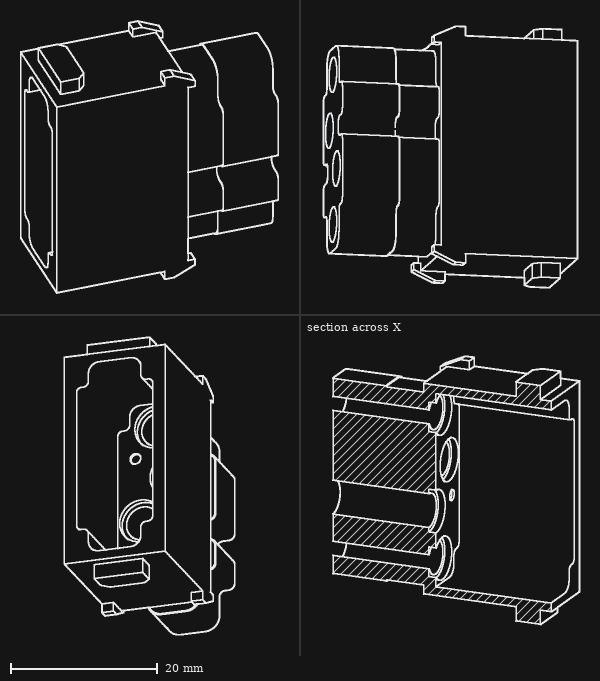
import cadquery as cq
import math

body_width = 14.6
body_height = 30.35
body_depth = 19.05
total_height = 34.4
total_depth = 32.6

end_hole_z = 10.42
inner_hole_x = 2.2
inner_hole_z = 3.05
hole_diameter = 4.8
counterbore_diameter = 6.1
counterbore_depth = 1.03
hole_centres = [
    (0, end_hole_z),
    (inner_hole_x, inner_hole_z),
    (-inner_hole_x, -inner_hole_z),
    (0, -end_hole_z),
]

cavity_depth = 17.2
cavity_half_width = 5.5
cavity_half_height = 13.85
cavity_end_half_width = 3.8
cavity_shoulder_z = end_hole_z
cavity_end_radius = 1.5
cavity_shoulder_radius = 0.75
cavity_corner_radius = 0.7

recess_diameter = 1.5
recess_depth = 0.35
recess_centres = [(-2.95, 6.12), (3.13, -2.3)]

neck_length = 5.57
plug_inset = 0.15
head_half_width = 6.05
head_half_height = 14.1
head_shoulder_z = 8.45
head_corner_radius = 0.9
head_shoulder_radius = 0.75
neck_shoulder_radius = 1.25
head_end_half_width = 3.85
neck_end_half_width = 3.8
plug_end_radius = 2.05
notch_z = 2.55
notch_wall_x = 3.27
head_notch_half_height = 1.38
notch_flat_half_height = 0.25

tab_height = (total_height - body_height) / 2
tab_front_y = 1.58
tab_back_y = 5.3
tab_chamfer = 1.03
top_tab_width = 9.0
bottom_tab_width = 7.02

hook_width = 1.7
hook_front_y = 15.7
hook_crest_y = 17.03
hook_tip_y = 20.05
hook_crest_z = 16.45
hook_tip_z = 15.05
hook_root_z = head_half_height


def point_symmetric(half_corners):
    """Complete an outline by turning its first half 180 degrees about the origin."""
    return half_corners + [(-x, -z, radius) for x, z, radius in half_corners]


def rounded_prism(corners, start_y, length):
    """Extrude along +Y an outline of right-angled (x, z, radius) corners."""
    arc_pull = 1 - math.sqrt(0.5)
    outline = cq.Workplane("XZ", origin=(0, start_y, 0))
    for index, (x, z, radius) in enumerate(corners):
        before = corners[index - 1]
        after = corners[(index + 1) % len(corners)]
        to_before = cq.Vector(before[0] - x, before[1] - z).normalized()
        to_after = cq.Vector(after[0] - x, after[1] - z).normalized()
        corner = cq.Vector(x, z)
        arc_start = (corner + to_before * radius).toTuple()[:2]
        arc_middle = (corner + (to_before + to_after) * (radius * arc_pull)).toTuple()[:2]
        arc_end = (corner + to_after * radius).toTuple()[:2]
        outline = outline.moveTo(*arc_start) if index == 0 else outline.lineTo(*arc_start)
        outline = outline.threePointArc(arc_middle, arc_end)
    return outline.close().extrude(-length)


def plug_section(inset, end_half_width, shoulder_radius, start_y, length):
    """One length of the plug; two shallow notches sit on opposite sides."""
    half_width = head_half_width - inset
    half_height = head_half_height - inset
    shoulder_z = head_shoulder_z - inset
    corner_radius = head_corner_radius - inset
    notch_half_height = head_notch_half_height + inset
    notch_radius = notch_half_height - notch_flat_half_height
    notch_bottom = notch_z - notch_half_height
    notch_top = notch_z + notch_half_height
    left_side = [
        (-end_half_width, -half_height, plug_end_radius),
        (-end_half_width, -shoulder_z, shoulder_radius),
        (-half_width, -shoulder_z, corner_radius),
        (-half_width, notch_bottom, corner_radius),
        (-notch_wall_x, notch_bottom, notch_radius),
        (-notch_wall_x, notch_top, notch_radius),
        (-half_width, notch_top, corner_radius),
        (-half_width, shoulder_z, corner_radius),
        (-end_half_width, shoulder_z, shoulder_radius),
        (-end_half_width, half_height, plug_end_radius),
    ]
    return rounded_prism(point_symmetric(left_side), start_y, length)


def cavity():
    left_side = [
        (-cavity_end_half_width, -cavity_half_height, cavity_end_radius),
        (-cavity_end_half_width, -cavity_shoulder_z, cavity_shoulder_radius),
        (-cavity_half_width, -cavity_shoulder_z, cavity_corner_radius),
        (-cavity_half_width, cavity_shoulder_z, cavity_corner_radius),
        (-cavity_end_half_width, cavity_shoulder_z, cavity_shoulder_radius),
        (-cavity_end_half_width, cavity_half_height, cavity_end_radius),
    ]
    return rounded_prism(point_symmetric(left_side), 0, cavity_depth)


def round_cuts(centres, diameter, start_y, depth):
    return (
        cq.Workplane("XZ", origin=(0, start_y, 0))
        .pushPoints(centres)
        .circle(diameter / 2)
        .extrude(-depth)
    )


def tab(width, bottom_z):
    """A keying tab whose two rear corners are chamfered."""
    length = tab_back_y - tab_front_y
    block = cq.Workplane("XY").box(width, length, tab_height, centered=(True, False, False))
    block = block.edges("|Z and >Y").chamfer(tab_chamfer)
    return block.translate((0, tab_front_y, bottom_z))


def hook():
    """The latch hook at the top, -X corner."""
    profile = [
        (hook_front_y, hook_root_z),
        (hook_front_y, hook_crest_z),
        (hook_crest_y, hook_crest_z),
        (hook_tip_y, hook_tip_z),
        (hook_tip_y, hook_root_z),
    ]
    return (
        cq.Workplane("YZ", origin=(-body_width / 2, 0, 0))
        .polyline(profile)
        .close()
        .extrude(hook_width)
    )


body = cq.Workplane("XY").box(body_width, body_depth, body_height, centered=(True, False, True))
neck = plug_section(plug_inset, neck_end_half_width, neck_shoulder_radius, body_depth, neck_length)
head_start_y = body_depth + neck_length
head_length = total_depth - head_start_y
head = plug_section(0, head_end_half_width, head_shoulder_radius, head_start_y, head_length)
body = body.union(neck).union(head)

body = body.union(tab(top_tab_width, body_height / 2))
body = body.union(tab(bottom_tab_width, -total_height / 2))
left_hooks = hook().union(hook().mirror("XY"))
body = body.union(left_hooks).union(left_hooks.mirror("YZ"))

body = body.cut(cavity())
body = body.cut(round_cuts(hole_centres, counterbore_diameter, cavity_depth, counterbore_depth))
body = body.cut(round_cuts(hole_centres, hole_diameter, cavity_depth, total_depth - cavity_depth))
body = body.cut(round_cuts(recess_centres, recess_diameter, cavity_depth, recess_depth))

result = body